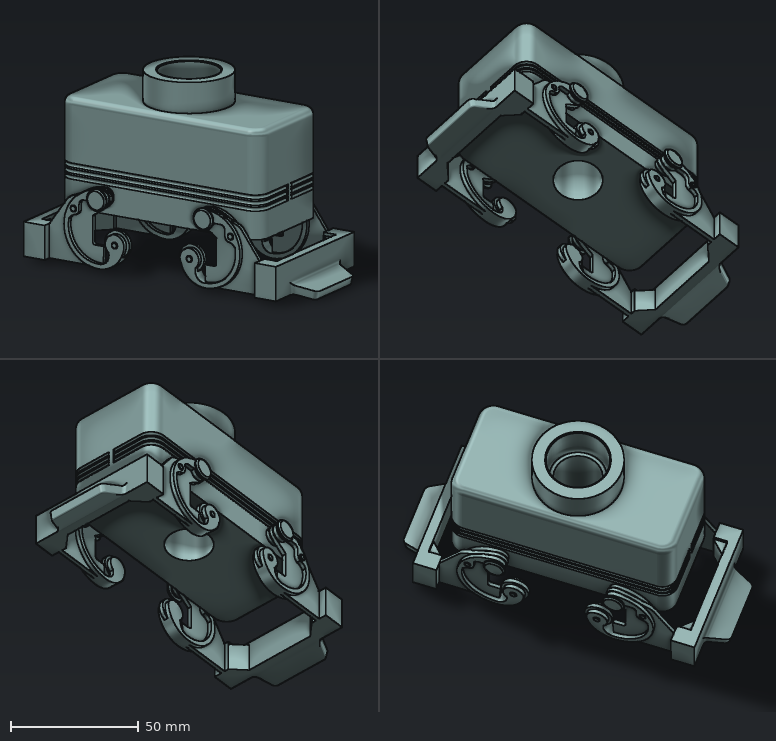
import cadquery as cq
import math

OVERALL_WIDTH = 59.0

HOOD_LENGTH = 93.9
HOOD_WIDTH = 43.5
HOOD_HEIGHT = 45.0
HOOD_CORNER_RADIUS = 6.3
HOOD_TOP_FILLET = 3.0

NECK_DIAMETER = 36.3
NECK_HEIGHT = 12.7
BORE_DIAMETER = 25.2
BORE_MOUTH_CHAMFER = 0.4
SEAT_DIAMETER = 22.7
SEAT_BLEND_HEIGHT = 2.6
CABLE_HOLE_DIAMETER = 19.4

GROOVE_RADIUS = 0.8
GROOVE_PITCH = 2.5
GROOVE_COUNT = 3
LOWEST_GROOVE_Z = 12.6
GROOVE_GAP = 2.5

BRIDGE_OUTER_X = -58.7
BRIDGE_INNER_X = -48.8
BRIDGE_BAR_THICKNESS = 4.1
BRIDGE_WIDTH = 57.7
BRIDGE_OPENING = HOOD_WIDTH
BRIDGE_TOP_Z = -6.7
BRIDGE_BOTTOM_Z = -21.0
BRIDGE_TRIM = 11.0
GUSSET_LEG = 5.9
GUSSET_RECESS = 1.4

TAB_TIP_X = -68.4
TAB_THICKNESS = 4.0
TAB_ANGLE = 14.3
TAB_ROOT_HALF_WIDTH = 17.4
TAB_TIP_HALF_WIDTH = 13.4
TAB_CORNER_RADIUS = 2.5
TAB_LOWER_FILLET = 0.7
TAB_ROOT_FILLET = 1.9
TAB_EMBED = 1.4
TAB_TOP_Z = BRIDGE_BOTTOM_Z + TAB_THICKNESS / math.cos(math.radians(TAB_ANGLE))

LATCH_INNER_Y = 21.9
PLATE_INNER_Y = 23.7
PLATE_OUTER_Y = 25.5
LATCH_OUTER_Y = 27.2

PIVOT = (-24.8, 7.4)
PIVOT_SHANK_RADIUS = 2.7
PIVOT_HEAD_RADIUS = 4.5
PIVOT_HEAD_CHAMFER = 0.7
PIVOT_HEAD_INNER_Y = 28.3
PIVOT_HEAD_OUTER_Y = OVERALL_WIDTH / 2
PIVOT_EMBED = 2.7

HOOK_OUTER_RADIUS = 16.1
HOOK_INNER_RADIUS = 14.1
HOOK_END_WALL = 1.0
HOOK_END_RADIUS = PIVOT_SHANK_RADIUS + HOOK_END_WALL
HOOK_CENTER = (PIVOT[0], PIVOT[1] + HOOK_END_RADIUS - HOOK_OUTER_RADIUS)
CURL = (-17.4, -10.4)
CURL_RADIUS = 4.4
CURL_DISC_RADIUS = 5.7
CURL_NECK_ANGLE = 230
TAIL_THROAT = (-21.0, -17.4)

POCKET_TOP_Z = 6.0
POCKET_CORNER_RADIUS = 2.2
POCKET_HEEL_ANGLE = 170
POCKET_HEEL = (-37.4, -1.2)
RIVET_BOSS_RADIUS = 2.6
RIVET_BOSS_ANGLE = -65

PLATE_PIVOT_RADIUS = 4.1
PIVOT_END_START = 112
PIVOT_END_STOP = -54
SHOULDER_START = (-40.8, 4.4)
SHOULDER_CREST = (-39.7, 5.6)
SHOULDER_END = (-38.0, 6.4)
THROAT_X = -28.7
THROAT_TOP_Z = -0.5
THROAT_CORNER = 0.5
SHELF_Z = -12.2
SHELF_RADIUS = 1.2
SHELF_END_X = -23.4
SHELF_FOOT_X = -23.8
PLATE_EMBED = 1.4

RIVET = (-36.5, 1.8)
RIVET_HEAD_RADIUS = 1.4
RIVET_HEAD_HEIGHT = 0.3


def layer(inner_y, outer_y):
    """Sketch plane at -inner_y and the thickness that reaches -outer_y."""
    return cq.Workplane("XZ", origin=(0, -inner_y, 0)), outer_y - inner_y


def disc(center, radius, inner_y, outer_y):
    plane, thickness = layer(inner_y, outer_y)
    return plane.center(*center).circle(radius).extrude(thickness)


def on_circle(center, radius, degrees):
    angle = math.radians(degrees)
    return (center[0] + radius * math.cos(angle), center[1] + radius * math.sin(angle))


def groove(z):
    path = (
        cq.Workplane("XY", origin=(0, 0, z))
        .rect(HOOD_LENGTH, HOOD_WIDTH)
        .extrude(1.4)
        .edges("|Z")
        .fillet(HOOD_CORNER_RADIUS)
        .faces("<Z")
        .wires()
        .val()
    )
    start = path.startPoint()
    profile_plane = cq.Plane(origin=start, normal=path.tangentAt(0))
    ring = cq.Workplane(profile_plane).circle(GROOVE_RADIUS).sweep(cq.Workplane(path))
    margin = 4 * GROOVE_RADIUS
    end_gap = cq.Workplane("XY", origin=(0, 0, z)).box(HOOD_LENGTH + margin, GROOVE_GAP, margin)
    return ring.cut(end_gap)


def hood():
    body = (
        cq.Workplane("XY")
        .rect(HOOD_LENGTH, HOOD_WIDTH)
        .extrude(HOOD_HEIGHT)
        .edges("|Z")
        .fillet(HOOD_CORNER_RADIUS)
        .faces(">Z")
        .edges()
        .fillet(HOOD_TOP_FILLET)
    )
    for index in range(GROOVE_COUNT):
        body = body.cut(groove(LOWEST_GROOVE_Z + index * GROOVE_PITCH))
    neck = (
        cq.Workplane("XY", origin=(0, 0, HOOD_HEIGHT))
        .circle(NECK_DIAMETER / 2)
        .extrude(NECK_HEIGHT)
    )
    return body.union(neck).cut(cable_passage())


def cable_passage():
    """Stepped hole: chamfered bore, rounded seat and a hole through the hood."""
    top = HOOD_HEIGHT + NECK_HEIGHT
    bore_radius = BORE_DIAMETER / 2
    seat_radius = SEAT_DIAMETER / 2
    hole_radius = CABLE_HOLE_DIAMETER / 2
    step = bore_radius - seat_radius
    blend_radius = (step**2 + SEAT_BLEND_HEIGHT**2) / (2 * step)
    blend_center = (bore_radius - blend_radius, HOOD_HEIGHT + SEAT_BLEND_HEIGHT)
    blend_angle = math.degrees(math.asin(SEAT_BLEND_HEIGHT / blend_radius))
    return (
        cq.Workplane("XZ")
        .moveTo(0, 0)
        .lineTo(hole_radius, 0)
        .lineTo(hole_radius, HOOD_HEIGHT)
        .lineTo(seat_radius, HOOD_HEIGHT)
        .threePointArc(
            on_circle(blend_center, blend_radius, -blend_angle / 2),
            (bore_radius, blend_center[1]),
        )
        .lineTo(bore_radius, top - BORE_MOUTH_CHAMFER)
        .lineTo(bore_radius + BORE_MOUTH_CHAMFER, top)
        .lineTo(0, top)
        .close()
        .revolve(360, (0, 0, 0), (0, 1, 0))
    )


def finger_tab():
    slope = math.radians(TAB_ANGLE)
    reach = (BRIDGE_OUTER_X - TAB_TIP_X) / math.cos(slope)
    tab = (
        cq.Workplane("XY")
        .moveTo(TAB_EMBED, TAB_ROOT_HALF_WIDTH)
        .lineTo(0, TAB_ROOT_HALF_WIDTH)
        .lineTo(-reach, TAB_TIP_HALF_WIDTH)
        .lineTo(-reach, -TAB_TIP_HALF_WIDTH)
        .lineTo(0, -TAB_ROOT_HALF_WIDTH)
        .lineTo(TAB_EMBED, -TAB_ROOT_HALF_WIDTH)
        .close()
        .extrude(-TAB_THICKNESS)
        .edges("|Z and <X")
        .fillet(TAB_CORNER_RADIUS)
        .faces("<Z")
        .edges("not(>X)")
        .fillet(TAB_LOWER_FILLET)
    )
    return (
        tab.rotate((0, 0, 0), (0, 1, 0), -TAB_ANGLE)
        .translate((BRIDGE_OUTER_X, 0, TAB_TOP_Z))
    )


def bridge():
    bar_inner_x = BRIDGE_OUTER_X + BRIDGE_BAR_THICKNESS
    half_width = BRIDGE_WIDTH / 2
    half_opening = BRIDGE_OPENING / 2
    frame = (
        cq.Workplane("XY", origin=(0, 0, BRIDGE_TOP_Z))
        .moveTo(BRIDGE_OUTER_X, half_width)
        .lineTo(BRIDGE_INNER_X, half_width)
        .lineTo(BRIDGE_INNER_X, half_opening)
        .lineTo(bar_inner_x, half_opening)
        .lineTo(bar_inner_x, -half_opening)
        .lineTo(BRIDGE_INNER_X, -half_opening)
        .lineTo(BRIDGE_INNER_X, -half_width)
        .lineTo(BRIDGE_OUTER_X, -half_width)
        .close()
        .extrude(BRIDGE_BOTTOM_Z - BRIDGE_TOP_Z - BRIDGE_TRIM)
    )
    frame = frame.union(finger_tab())
    margin = 0.1
    root = cq.selectors.BoxSelector(
        (BRIDGE_OUTER_X - margin, -TAB_ROOT_HALF_WIDTH - margin, BRIDGE_BOTTOM_Z + margin),
        (BRIDGE_OUTER_X + margin, TAB_ROOT_HALF_WIDTH + margin, TAB_TOP_Z + margin),
    )
    frame = frame.edges(root).fillet(TAB_ROOT_FILLET)
    blend_outer_x = BRIDGE_OUTER_X - 2 * TAB_ROOT_FILLET
    blend_drop = 2 * TAB_ROOT_FILLET * math.tan(math.radians(TAB_ANGLE))
    trim = (
        cq.Workplane("XZ", origin=(0, half_width, 0))
        .moveTo(BRIDGE_INNER_X, BRIDGE_BOTTOM_Z)
        .lineTo(BRIDGE_OUTER_X, BRIDGE_BOTTOM_Z)
        .lineTo(blend_outer_x, BRIDGE_BOTTOM_Z - blend_drop)
        .lineTo(blend_outer_x, BRIDGE_BOTTOM_Z - BRIDGE_TRIM)
        .lineTo(BRIDGE_INNER_X, BRIDGE_BOTTOM_Z - BRIDGE_TRIM)
        .close()
        .extrude(BRIDGE_WIDTH)
    )
    frame = frame.cut(trim)
    for side in (-1, 1):
        gusset = (
            cq.Workplane("XY", origin=(0, 0, BRIDGE_BOTTOM_Z))
            .moveTo(bar_inner_x, side * half_opening)
            .lineTo(bar_inner_x + GUSSET_LEG, side * half_opening)
            .lineTo(bar_inner_x, side * (half_opening - GUSSET_LEG))
            .close()
            .extrude(BRIDGE_TOP_Z - BRIDGE_BOTTOM_Z - GUSSET_RECESS)
        )
        frame = frame.union(gusset)
    return frame


def hook_tail(inner_y, outer_y):
    """Curled end of the hook, from the bottom of the ring to the curl disc."""
    plane, thickness = layer(inner_y, outer_y)
    center_x, center_z = HOOK_CENTER
    bottom_z = center_z - HOOK_OUTER_RADIUS
    tip_x = CURL[0] + CURL_RADIUS
    run = tip_x - center_x
    rise = CURL[1] - bottom_z
    sweep_radius = (run**2 + rise**2) / (2 * rise)
    sweep_center = (center_x, bottom_z + sweep_radius)
    return (
        plane.moveTo(center_x, bottom_z)
        .threePointArc(on_circle(sweep_center, sweep_radius, -45), (tip_x, CURL[1]))
        .threePointArc(on_circle(CURL, CURL_RADIUS, 90), on_circle(CURL, CURL_RADIUS, CURL_NECK_ANGLE))
        .threePointArc(TAIL_THROAT, (SHELF_FOOT_X, center_z - HOOK_INNER_RADIUS))
        .lineTo(center_x, center_z - HOOK_INNER_RADIUS)
        .close()
        .extrude(thickness)
    )


def hook_cheek(inner_y, outer_y):
    """Outer layer of the hook: half ring, pivot end, rivet boss and curled tail."""
    center_x, center_z = HOOK_CENTER
    plane, thickness = layer(inner_y, outer_y)
    half_disc = (
        plane.moveTo(center_x, center_z + HOOK_OUTER_RADIUS)
        .threePointArc(
            (center_x - HOOK_OUTER_RADIUS, center_z),
            (center_x, center_z - HOOK_OUTER_RADIUS),
        )
        .close()
        .extrude(thickness)
    )
    pocket_left_x = RIVET[0] + RIVET_BOSS_RADIUS
    corner = (pocket_left_x + POCKET_CORNER_RADIUS, POCKET_TOP_Z - POCKET_CORNER_RADIUS)
    pocket = (
        plane.moveTo(center_x, center_z - HOOK_INNER_RADIUS)
        .threePointArc(
            on_circle(HOOK_CENTER, HOOK_INNER_RADIUS, (270 + POCKET_HEEL_ANGLE) / 2),
            on_circle(HOOK_CENTER, HOOK_INNER_RADIUS, POCKET_HEEL_ANGLE),
        )
        .threePointArc(POCKET_HEEL, on_circle(RIVET, RIVET_BOSS_RADIUS, RIVET_BOSS_ANGLE))
        .threePointArc(
            on_circle(RIVET, RIVET_BOSS_RADIUS, RIVET_BOSS_ANGLE / 2),
            (pocket_left_x, RIVET[1]),
        )
        .lineTo(pocket_left_x, corner[1])
        .threePointArc(on_circle(corner, POCKET_CORNER_RADIUS, 135), (corner[0], POCKET_TOP_Z))
        .lineTo(center_x, POCKET_TOP_Z)
        .close()
        .extrude(thickness)
    )
    return (
        half_disc.cut(pocket)
        .union(disc(PIVOT, HOOK_END_RADIUS, inner_y, outer_y))
        .union(hook_tail(inner_y, outer_y))
    )


def lever_plate():
    """Middle layer that runs from the bridge to the pivot and the hook."""
    plane, thickness = layer(PLATE_INNER_Y, PLATE_OUTER_Y)
    center_x, center_z = HOOK_CENTER
    shelf_corner = (THROAT_X + SHELF_RADIUS, SHELF_Z + SHELF_RADIUS)
    merge_angle = 180 + math.degrees(math.asin((center_z - BRIDGE_BOTTOM_Z) / HOOK_OUTER_RADIUS))
    body = (
        plane.moveTo(BRIDGE_INNER_X - PLATE_EMBED, BRIDGE_BOTTOM_Z)
        .lineTo(BRIDGE_INNER_X - PLATE_EMBED, BRIDGE_TOP_Z)
        .lineTo(BRIDGE_INNER_X, BRIDGE_TOP_Z)
        .lineTo(*SHOULDER_START)
        .threePointArc(SHOULDER_CREST, SHOULDER_END)
        .lineTo(*on_circle(PIVOT, PLATE_PIVOT_RADIUS, PIVOT_END_START))
        .threePointArc(
            on_circle(PIVOT, PLATE_PIVOT_RADIUS, 0),
            on_circle(PIVOT, PLATE_PIVOT_RADIUS, PIVOT_END_STOP),
        )
        .lineTo(THROAT_X + THROAT_CORNER, THROAT_TOP_Z + THROAT_CORNER)
        .lineTo(THROAT_X, THROAT_TOP_Z)
        .lineTo(THROAT_X, shelf_corner[1])
        .threePointArc(
            on_circle(shelf_corner, SHELF_RADIUS, 225),
            (shelf_corner[0], SHELF_Z),
        )
        .lineTo(SHELF_END_X, SHELF_Z)
        .lineTo(SHELF_FOOT_X, center_z - HOOK_INNER_RADIUS)
        .lineTo(center_x, center_z - HOOK_OUTER_RADIUS)
        .threePointArc(
            on_circle(HOOK_CENTER, HOOK_OUTER_RADIUS, (270 + merge_angle) / 2),
            on_circle(HOOK_CENTER, HOOK_OUTER_RADIUS, merge_angle),
        )
        .close()
        .extrude(thickness)
    )
    return (
        body.union(hook_tail(PLATE_INNER_Y, PLATE_OUTER_Y))
        .union(disc(CURL, CURL_DISC_RADIUS, PLATE_INNER_Y, PLATE_OUTER_Y))
    )


def pivot_pin():
    shank = disc(PIVOT, PIVOT_SHANK_RADIUS, HOOD_WIDTH / 2 - PIVOT_EMBED, PIVOT_HEAD_OUTER_Y)
    head = (
        disc(PIVOT, PIVOT_HEAD_RADIUS, PIVOT_HEAD_INNER_Y, PIVOT_HEAD_OUTER_Y)
        .faces("<Y")
        .chamfer(PIVOT_HEAD_CHAMFER)
    )
    return shank.union(head)


def rivet_head(center):
    outer_y = LATCH_OUTER_Y + RIVET_HEAD_HEIGHT
    return (
        disc(center, RIVET_HEAD_RADIUS, PLATE_OUTER_Y, outer_y)
        .faces("<Y")
        .chamfer(RIVET_HEAD_HEIGHT)
    )


def latch():
    """Complete latch on the -X, -Y corner of the hood."""
    return (
        lever_plate()
        .union(hook_cheek(LATCH_INNER_Y, PLATE_INNER_Y))
        .union(hook_cheek(PLATE_OUTER_Y, LATCH_OUTER_Y))
        .union(pivot_pin())
        .union(rivet_head(RIVET))
        .union(rivet_head(CURL))
    )


front_latch = latch()
end_assembly = bridge().union(front_latch).union(front_latch.mirror("XZ"))
result = hood().union(end_assembly).union(end_assembly.mirror("YZ"))